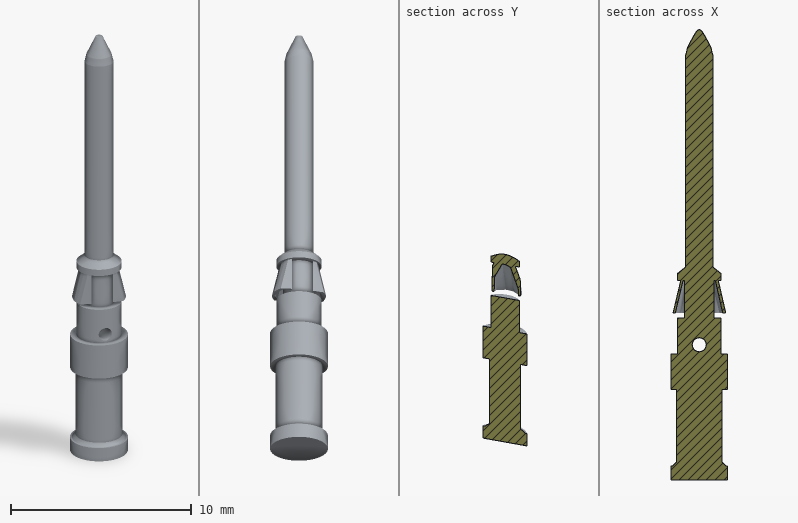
import cadquery as cq

pin_radius = 0.8
tip_radius = 0.2
tip_edge_radius = 0.28
nose_radius = 0.7
flange_radius = 1.25
neck_radius = 0.88
barrel_radius = 1.3
collar_radius = 1.6

total_length = 25.0
tip_edge_z = 24.82
nose_z = 23.92
pin_top_z = 23.5
flange_cone_z = 11.8
flange_edge_z = 11.42
neck_top_z = 11.05
neck_bottom_z = 9.0
collar_top_z = 7.0
collar_bottom_z = 5.0
foot_cone_z = 1.0
foot_z = 0.8

hole_diameter = 0.75
hole_z = 7.5

leaf_bottom_z = 9.25
leaf_top_reach = 1.05
leaf_bottom_reach = 1.48
leaf_end_y = 0.6
leaf_half_width = 0.9
leaf_cheek_half_width = 0.82
leaf_cheek_setback = 0.25
leaf_shoulder_half_width = 0.55
leaf_flat_half_width = 0.3
leaf_bevel = 0.1
leaf_wall = 0.15
leaf_turn = -5.0


def turned_body():
    """Revolve the stepped half-profile about Z."""
    foot_cone_radius = barrel_radius + foot_cone_z - foot_z
    profile = [
        (0, 0),
        (collar_radius, 0),
        (collar_radius, foot_z),
        (foot_cone_radius, foot_z),
        (barrel_radius, foot_cone_z),
        (barrel_radius, collar_bottom_z),
        (collar_radius, collar_bottom_z),
        (collar_radius, collar_top_z),
        (flange_radius, collar_top_z),
        (flange_radius, neck_bottom_z),
        (neck_radius, neck_bottom_z),
        (neck_radius, neck_top_z),
        (flange_radius, neck_top_z),
        (flange_radius, flange_edge_z),
        (pin_radius, flange_cone_z),
        (pin_radius, pin_top_z),
        (nose_radius, nose_z),
        (tip_edge_radius, tip_edge_z),
        (tip_radius, total_length),
        (0, total_length),
    ]
    return cq.Workplane("XZ").polyline(profile).close().revolve(360, (0, 0), (0, 1))


def leaf_section(reach, inset):
    """Bevelled outline of a leaf on the -Y side, inset by the wall thickness."""
    side = leaf_half_width - inset
    cheek = leaf_cheek_half_width - inset
    shoulder = leaf_shoulder_half_width - inset
    flat = leaf_flat_half_width - inset / 2
    front = -reach + inset
    return [
        (-side, -leaf_end_y),
        (-cheek, front + leaf_cheek_setback),
        (-shoulder, front + leaf_bevel),
        (-flat, front),
        (flat, front),
        (shoulder, front + leaf_bevel),
        (cheek, front + leaf_cheek_setback),
        (side, -leaf_end_y),
    ]


def leaf_block(inset):
    """Loft the bevelled outline from the lower end of the leaf up to the flange."""
    lower = leaf_section(leaf_bottom_reach, inset)
    upper = leaf_section(leaf_top_reach, inset)
    return (
        cq.Workplane("XY")
        .workplane(offset=leaf_bottom_z)
        .polyline(lower)
        .close()
        .workplane(offset=neck_top_z - leaf_bottom_z)
        .polyline(upper)
        .close()
        .loft(ruled=True)
    )


def spring_leaf(angle):
    """Thin channel-shaped leaf, turned about Z."""
    leaf = leaf_block(0).cut(leaf_block(leaf_wall))
    return leaf.rotate((0, 0, 0), (0, 0, 1), angle)


def inspection_hole():
    """Radial drilling from the axis out through the +X wall."""
    return cq.Workplane("YZ").center(0, hole_z).circle(hole_diameter / 2).extrude(collar_radius)


result = turned_body()
for side_angle in (0, 180):
    result = result.union(spring_leaf(side_angle + leaf_turn))
result = result.cut(inspection_hole())